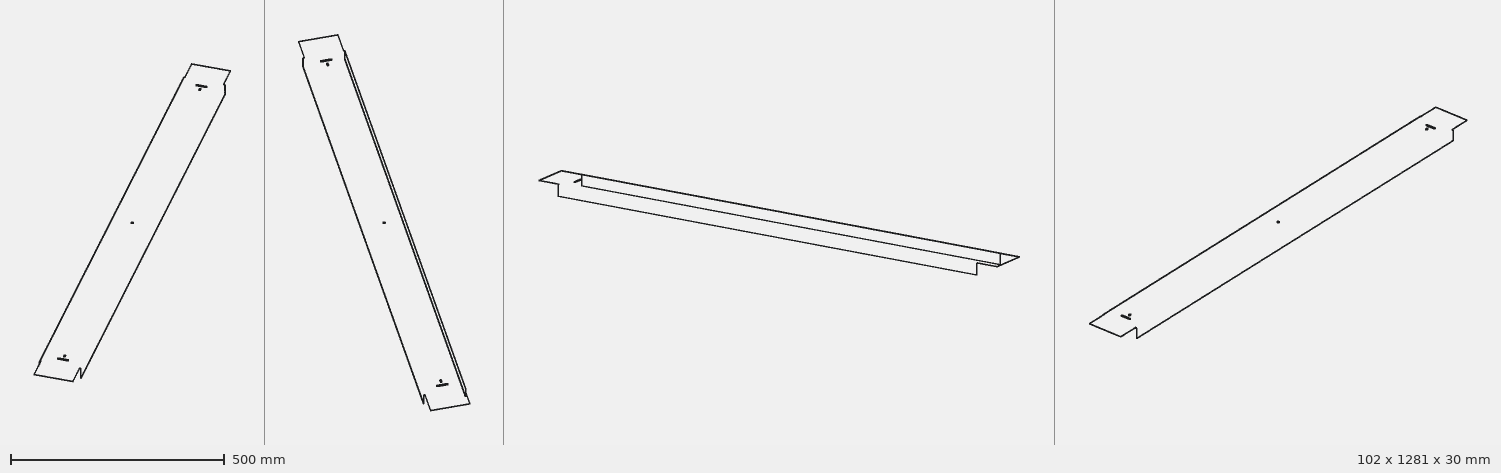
import cadquery as cq

length = 1281.0
width = 102.0
height = 30.0
thickness = 1.5
bend_radius = 4.0
flange_length = 1171.0

slot_length = 27.0
slot_width = 4.0
slot_y = 564.0
short_slot_length = 8.0
short_slot_width = 4.0
short_slot_y = 550.0
center_hole_diameter = 5.0

web_width = width - 2 * bend_radius
inner_radius = bend_radius - thickness


def make_web():
    """Flat top plate that overhangs the flanges at both ends."""
    return cq.Workplane("XY").box(web_width, length, thickness, centered=(True, True, False)).translate(
        (0, 0, height - thickness)
    )


def make_channel():
    """Web with a rounded bend and a downward flange along each side."""
    outer = (
        cq.Workplane("XY")
        .box(width, flange_length, height, centered=(True, True, False))
        .edges("|Y and >Z")
        .fillet(bend_radius)
    )
    inner = (
        cq.Workplane("XY")
        .box(width - 2 * thickness, flange_length, height - thickness, centered=(True, True, False))
        .edges("|Y and >Z")
        .fillet(inner_radius)
    )
    return outer.cut(inner)


def cut_openings(body):
    """Center hole and a mirrored pair of slots near each end."""
    openings = cq.Workplane("XY").circle(center_hole_diameter / 2).extrude(height)
    for side in (-1, 1):
        cross_slot = cq.Workplane("XY").center(0, side * slot_y).slot2D(slot_length, slot_width).extrude(height)
        short_slot = (
            cq.Workplane("XY")
            .center(0, side * short_slot_y)
            .slot2D(short_slot_length, short_slot_width, 90)
            .extrude(height)
        )
        openings = openings.union(cross_slot).union(short_slot)
    return body.cut(openings)


result = cut_openings(make_channel().union(make_web()))